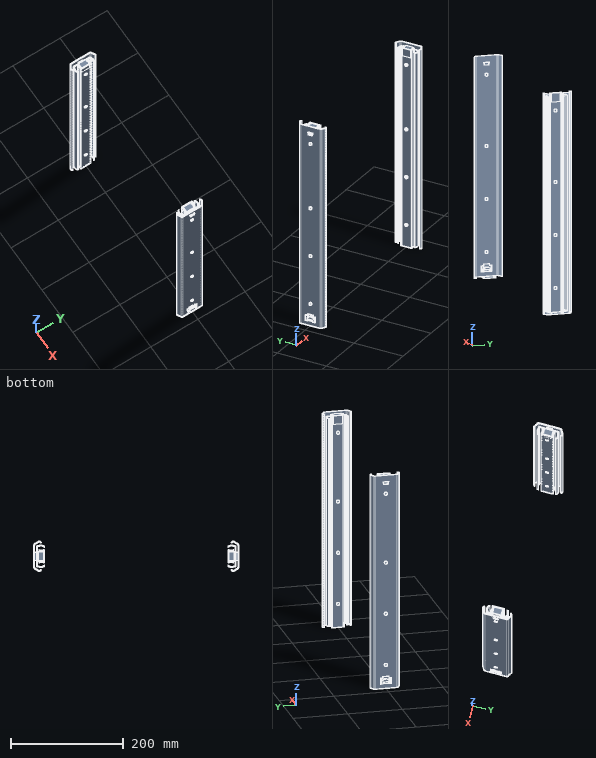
import cadquery as cq
import math

OVERALL_WIDTH = 364.0
RAIL_LENGTH = 400.0
SHEET = 1.8
SCREW_DIAMETER = 5.5
SCREW_HEIGHTS = (44.0, 140.0, 236.0, 365.0)

OUTER_WIDTH = 54.0
WEB_BEND = 3.5
FLANK_ANGLE = 30.0
LIP_BEND = 3.0
LIP_DEPTH = 10.0
LIP_ANGLE = 40.0
LIP_LENGTH = 2.5

MIDDLE_DEPTH = 5.0
MIDDLE_SHOULDER = 19.0
MIDDLE_BEND = 2.0
MIDDLE_BOTTOM = 3.0
MIDDLE_TOP = 393.0
MIDDLE_RACE_HALF = 20.0
MIDDLE_RACE_RADIUS = 10.0
MIDDLE_RACE_CENTRE = 13.0
MIDDLE_RACE_START = 9.0
MIDDLE_RACE_END = 19.0

SLIDE_DEPTH = 19.0
INNER_WEB = SLIDE_DEPTH - SHEET
INNER_BEND = 1.5
INNER_TOP = 397.5
INNER_RACE_HALF = 11.0
INNER_RACE_RADIUS = 9.0
INNER_RACE_CENTRE = 13.5
INNER_RACE_START = 9.5
INNER_RACE_END = 17.5

RECESS_DEPTH = 1.5
RECESS_MOUTH_HALF = 8.0
RECESS_FLOOR_HALF = 7.0
RECESS_WALL = 1.0
RECESS_FLOOR = MIDDLE_DEPTH + RECESS_DEPTH

BLOCK_HALF_WIDTH = 8.0
BLOCK_TOP = 397.0
BLOCK_HEIGHT = 16.0

WINDOW_TOP = 387.5
WINDOW_BOTTOM = 383.0
WINDOW_TOP_HALF = 5.0
WINDOW_BOTTOM_HALF = 4.0

OPENING_BOTTOM = 9.0
OPENING_SHOULDER = 19.5
OPENING_TOP = 22.5
OPENING_HALF_WIDTH = 10.0
NECK_HALF_WIDTH = 5.5

TONGUE_HALF_WIDTH = 5.0
TONGUE_TOP = 12.0
HOOK_HALF_WIDTH = 7.5
HOOK_REACH = 3.0
HOOK_RIDGE = 17.0
HOOK_RIDGE_HALF = 2.5
HOOK_SLOPE = 30.0


def polar(centre, radius, angle):
    """Point on a circle, angle in degrees."""
    a = math.radians(angle)
    return (centre[0] + radius * math.cos(a), centre[1] + radius * math.sin(a))


def both_halves(half_outline, bottom, top):
    """Extrude a half section along Z and join it to its mirror image across y = 0."""
    half = half_outline.close().extrude(top - bottom).translate((0, 0, bottom))
    return half.union(half.mirror("XZ"))


def race_point(centre, radius, x, side):
    """Point at depth x on a race circle; side is +1 above the centre, -1 below."""
    return (x, centre[1] + side * math.sqrt(radius ** 2 - (x - centre[0]) ** 2))


def cut_through_web(rail, outline, web_face):
    """Cut a closed (y, z) outline through the web that starts at depth web_face."""
    tool = cq.Workplane("YZ", origin=(web_face, 0, 0)).polyline(outline).close().extrude(SHEET)
    return rail.cut(tool)


def drill_screw_holes(rail, web_face):
    """Drill the row of screw holes through the web that starts at depth web_face."""
    holes = (
        cq.Workplane("YZ", origin=(web_face, 0, 0))
        .pushPoints([(0, z) for z in SCREW_HEIGHTS])
        .circle(SCREW_DIAMETER / 2)
        .extrude(SHEET)
    )
    return rail.cut(holes)


def outer_rail_section():
    """Half section of the outer rail: flat web, sloping flank and inturned lip."""
    flank = 90 + FLANK_ANGLE
    lip = 90 - LIP_ANGLE
    web_mid = (180 + flank) / 2
    lip_inside = LIP_BEND - SHEET
    web_inside = WEB_BEND - SHEET
    lip_centre = (LIP_DEPTH, OUTER_WIDTH / 2 - LIP_BEND)
    flank_end = polar(lip_centre, LIP_BEND, flank)
    flank_start_x = polar((WEB_BEND, 0), WEB_BEND, flank)[0]
    flank_rise = (flank_end[0] - flank_start_x) * math.tan(math.radians(FLANK_ANGLE))
    web_half = flank_end[1] - flank_rise - WEB_BEND * math.sin(math.radians(flank))
    web_centre = (WEB_BEND, web_half)
    return (
        cq.Workplane("XY")
        .moveTo(0, 0)
        .lineTo(0, web_half)
        .threePointArc(polar(web_centre, WEB_BEND, web_mid), polar(web_centre, WEB_BEND, flank))
        .lineTo(*flank_end)
        .threePointArc(polar(lip_centre, LIP_BEND, 90), polar(lip_centre, LIP_BEND, lip))
        .lineTo(*polar(polar(lip_centre, LIP_BEND, lip), LIP_LENGTH, -LIP_ANGLE))
        .lineTo(*polar(polar(lip_centre, lip_inside, lip), LIP_LENGTH, -LIP_ANGLE))
        .lineTo(*polar(lip_centre, lip_inside, lip))
        .threePointArc(polar(lip_centre, lip_inside, 90), polar(lip_centre, lip_inside, flank))
        .lineTo(*polar(web_centre, web_inside, flank))
        .threePointArc(polar(web_centre, web_inside, web_mid), (SHEET, web_half))
        .lineTo(SHEET, 0)
    )


def make_latch_hook():
    """Roof-shaped hook that reaches from the tongue towards the middle rail."""
    eaves = HOOK_RIDGE - (HOOK_HALF_WIDTH - HOOK_RIDGE_HALF) * math.tan(math.radians(HOOK_SLOPE))
    outline = [
        (-HOOK_HALF_WIDTH, OPENING_BOTTOM),
        (-HOOK_HALF_WIDTH, eaves),
        (-HOOK_RIDGE_HALF, HOOK_RIDGE),
        (HOOK_RIDGE_HALF, HOOK_RIDGE),
        (HOOK_HALF_WIDTH, eaves),
        (HOOK_HALF_WIDTH, OPENING_BOTTOM),
    ]
    return (
        cq.Workplane("YZ", origin=(SHEET, 0, 0))
        .polyline(outline)
        .close()
        .extrude(HOOK_REACH)
    )


def make_outer_rail():
    """Outer rail with screw holes, the trapezoidal window, the latch opening and its hook."""
    rail = both_halves(outer_rail_section(), 0, RAIL_LENGTH)
    rail = drill_screw_holes(rail, 0)

    window = [
        (-WINDOW_TOP_HALF, WINDOW_TOP),
        (WINDOW_TOP_HALF, WINDOW_TOP),
        (WINDOW_BOTTOM_HALF, WINDOW_BOTTOM),
        (-WINDOW_BOTTOM_HALF, WINDOW_BOTTOM),
    ]
    rail = cut_through_web(rail, window, 0)

    positive_half = [
        (TONGUE_HALF_WIDTH, TONGUE_TOP),
        (TONGUE_HALF_WIDTH, OPENING_BOTTOM),
        (OPENING_HALF_WIDTH, OPENING_BOTTOM),
        (OPENING_HALF_WIDTH, OPENING_SHOULDER),
        (NECK_HALF_WIDTH, OPENING_SHOULDER),
        (NECK_HALF_WIDTH, OPENING_TOP),
    ]
    negative_half = [(-y, z) for y, z in reversed(positive_half)]
    rail = cut_through_web(rail, positive_half + negative_half, 0)
    return rail.union(make_latch_hook())


def make_middle_rail():
    """Channel with a recessed web, rounded shoulders and flanges arched over the balls."""
    centre = (MIDDLE_RACE_CENTRE, MIDDLE_RACE_HALF - MIDDLE_RACE_RADIUS)
    outside = MIDDLE_RACE_RADIUS
    inside = outside - SHEET
    web_inner = MIDDLE_DEPTH + SHEET
    recess_outer_half = RECESS_MOUTH_HALF + RECESS_WALL
    bend = (MIDDLE_DEPTH + MIDDLE_BEND, MIDDLE_SHOULDER - MIDDLE_BEND)
    outline = (
        cq.Workplane("XY")
        .moveTo(RECESS_FLOOR, 0)
        .lineTo(RECESS_FLOOR, RECESS_FLOOR_HALF)
        .lineTo(MIDDLE_DEPTH, RECESS_MOUTH_HALF)
        .lineTo(MIDDLE_DEPTH, bend[1])
        .threePointArc(polar(bend, MIDDLE_BEND, 135), (bend[0], MIDDLE_SHOULDER))
        .lineTo(MIDDLE_RACE_START, MIDDLE_SHOULDER)
        .lineTo(*race_point(centre, outside, MIDDLE_RACE_START, 1))
        .threePointArc(polar(centre, outside, 90), race_point(centre, outside, MIDDLE_RACE_END, 1))
        .lineTo(*race_point(centre, inside, MIDDLE_RACE_END, 1))
        .threePointArc(polar(centre, inside, 90), race_point(centre, inside, MIDDLE_RACE_START, 1))
        .lineTo(MIDDLE_RACE_START, MIDDLE_SHOULDER - SHEET)
        .lineTo(web_inner, MIDDLE_SHOULDER - SHEET)
        .lineTo(web_inner, recess_outer_half)
        .lineTo(RECESS_FLOOR + SHEET, recess_outer_half)
        .lineTo(RECESS_FLOOR + SHEET, 0)
    )
    return both_halves(outline, MIDDLE_BOTTOM, MIDDLE_TOP)


def make_inner_rail():
    """Channel whose flanges are hollowed on the outside to form the inner ball races."""
    centre = (INNER_RACE_CENTRE, INNER_RACE_HALF + INNER_RACE_RADIUS)
    ball_side = INNER_RACE_RADIUS
    back_side = ball_side + SHEET
    crest = race_point(centre, ball_side, INNER_RACE_END, -1)
    bend = (SLIDE_DEPTH - INNER_BEND, crest[1] - INNER_BEND)
    outline = (
        cq.Workplane("XY")
        .moveTo(SLIDE_DEPTH, 0)
        .lineTo(SLIDE_DEPTH, bend[1])
        .threePointArc(polar(bend, INNER_BEND, 45), crest)
        .threePointArc(polar(centre, ball_side, -90), race_point(centre, ball_side, INNER_RACE_START, -1))
        .lineTo(*race_point(centre, back_side, INNER_RACE_START, -1))
        .threePointArc(polar(centre, back_side, -90), race_point(centre, back_side, INNER_WEB, -1))
        .lineTo(INNER_WEB, 0)
    )
    return drill_screw_holes(both_halves(outline, 0, INNER_TOP), INNER_WEB)


def make_stop_block():
    """Block between the two webs, with a cap that covers the end of the recessed web."""
    outline = [
        (RECESS_FLOOR, BLOCK_TOP),
        (INNER_WEB, BLOCK_TOP),
        (INNER_WEB, BLOCK_TOP - BLOCK_HEIGHT),
        (RECESS_FLOOR + SHEET, BLOCK_TOP - BLOCK_HEIGHT),
        (RECESS_FLOOR + SHEET, MIDDLE_TOP),
        (RECESS_FLOOR, MIDDLE_TOP),
    ]
    return cq.Workplane("XZ").polyline(outline).close().extrude(BLOCK_HALF_WIDTH, both=True)


slide = [make_outer_rail(), make_middle_rail(), make_inner_rail(), make_stop_block()]

bodies = []
for body in slide:
    left = body.translate((-OVERALL_WIDTH / 2, 0, 0))
    bodies.append(left.val())
    bodies.append(left.mirror("YZ").val())

result = cq.Compound.makeCompound(bodies)